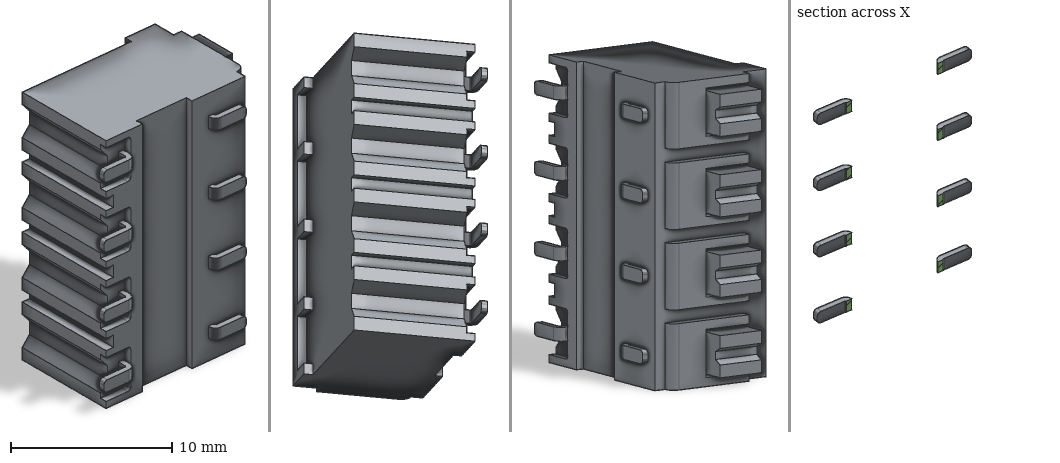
import cadquery as cq


pole_count = 4
total_height = 19.44
pole_height = 4.2
pitch = (total_height - pole_height) / (pole_count - 1)
pole_middle = pole_height / 2
pole_gap = pitch - pole_height

body_left = 0.58
body_right = 8.4
body_back = 11.59
notch_left = 7.87
notch_front = 3.01
notch_back = 7.15

rim_front = 10.6
lug_front = 9.1
lug_height = 0.82
end_lug_height = 0.7

ledge_left = 1.73
ledge_right = 7.62
ledge_back = 12.25
ledge_round = 0.6

button_left = 1.79
button_right = 4.9
button_height = 2.66
button_back = 13.67
button_notch_depth = 0.5
button_notch_mouth = 1.05
button_notch_floor = 0.5
slot_clearance = 0.08
slot_chamfer_width = 0.12
slot_chamfer_depth = 0.23

groove_depth = 0.6
groove_mouth = 2.41
groove_floor = 1.0

pocket_height = 3.19
pocket_back = 2.06
pocket_round = 0.25

pin_right = 9.0
pin_thickness = 0.4
pin_width = 0.87
pin_length = 2.62
pin_root = 6.8
pin_bend_outer = 0.52
pin_bend_inner = pin_bend_outer - pin_thickness
pin_tip_round = 0.3
front_pin_back = 1.9
rear_pin_front = 8.51


def block(x_range, y_range, z_range):
    """Box spanning the three given (low, high) ranges."""
    lengths = [high - low for low, high in (x_range, y_range, z_range)]
    return cq.Workplane("XY").box(*lengths, centered=False).translate((x_range[0], y_range[0], z_range[0]))


def extrude_along_x(points, x_start, x_end):
    """Prism along X from an outline of (y, z) points."""
    return cq.Workplane("YZ").workplane(offset=x_start).polyline(points).close().extrude(x_end - x_start)


def centred(middle, width):
    """(low, high) range of the given width about a middle."""
    return middle - width / 2, middle + width / 2


def make_housing():
    housing = block((body_left, body_right), (0, body_back), (0, total_height))
    notch = block((notch_left, body_right), (notch_front, notch_back), (0, total_height))
    return housing.cut(notch)


def make_lugs():
    lugs = block((0, body_left), (rim_front, body_back), (0, total_height))
    z_ranges = [(0, end_lug_height), (total_height - end_lug_height, total_height)]
    for index in range(1, pole_count):
        gap_middle = index * pitch - pole_gap / 2
        z_ranges.append(centred(gap_middle, lug_height))
    for z_range in z_ranges:
        lugs = lugs.union(block((0, body_left), (lug_front, body_back), z_range))
    return lugs


def make_ledge():
    ledge = block((ledge_left, ledge_right), (notch_back, ledge_back), (0, pole_height))
    return ledge.edges("|Z and >X and >Y").fillet(ledge_round)


def make_button_slot():
    half_width = button_height / 2 + slot_clearance
    half_mouth = half_width + slot_chamfer_width
    chamfer_front = ledge_back - slot_chamfer_depth
    outline = [
        (body_back, pole_middle - half_width),
        (chamfer_front, pole_middle - half_width),
        (ledge_back, pole_middle - half_mouth),
        (ledge_back, pole_middle + half_mouth),
        (chamfer_front, pole_middle + half_width),
        (body_back, pole_middle + half_width),
    ]
    return extrude_along_x(outline, ledge_left, button_right + slot_clearance)


def make_button():
    low, high = centred(pole_middle, button_height)
    mouth_low, mouth_high = centred(pole_middle, button_notch_mouth)
    floor_low, floor_high = centred(pole_middle, button_notch_floor)
    notch_floor = button_back - button_notch_depth
    outline = [
        (notch_back, low),
        (button_back, low),
        (button_back, mouth_low),
        (notch_floor, floor_low),
        (notch_floor, floor_high),
        (button_back, mouth_high),
        (button_back, high),
        (notch_back, high),
    ]
    return extrude_along_x(outline, button_left, button_right)


def make_front_groove():
    mouth_low, mouth_high = centred(pole_middle, groove_mouth)
    floor_low, floor_high = centred(pole_middle, groove_floor)
    outline = [(0, mouth_low), (groove_depth, floor_low), (groove_depth, floor_high), (0, mouth_high)]
    return extrude_along_x(outline, body_left, notch_left)


def make_pin_pocket():
    pocket = block((notch_left, body_right), (0, pocket_back), centred(pole_middle, pocket_height))
    return pocket.edges("|X and >Y").fillet(pocket_round)


def make_pin(root_y, direction):
    """L-shaped pin; root_y is the outer face of its root, direction is the way it bends along Y."""
    tip_y = root_y + direction * pin_length
    inner_y = root_y + direction * pin_thickness
    inner_x = pin_right - pin_thickness
    outline = [
        (pin_root, root_y),
        (pin_right, root_y),
        (pin_right, tip_y),
        (inner_x, tip_y),
        (inner_x, inner_y),
        (pin_root, inner_y),
    ]
    pin = cq.Workplane("XY").polyline(outline).close().extrude(pin_width)
    inner_corner = cq.selectors.NearestToPointSelector((inner_x, inner_y, pin_width / 2))
    outer_corner = cq.selectors.NearestToPointSelector((pin_right, root_y, pin_width / 2))
    pin = pin.edges("|Z").edges(inner_corner).fillet(pin_bend_inner)
    pin = pin.edges("|Z").edges(outer_corner).fillet(pin_bend_outer)
    tip_side = ">Y" if direction > 0 else "<Y"
    pin = pin.faces(tip_side).edges("|X").fillet(pin_tip_round)
    return pin.translate((0, 0, pole_middle - pin_width / 2))


pole_ledge = make_ledge().cut(make_button_slot())
pole_cuts = make_front_groove().union(make_pin_pocket())
pole_additions = [
    pole_ledge,
    make_button(),
    make_pin(front_pin_back, -1),
    make_pin(rear_pin_front, 1),
]

result = make_housing().union(make_lugs())
for index in range(pole_count):
    pole_base = (0, 0, index * pitch)
    result = result.cut(pole_cuts.translate(pole_base))
    for addition in pole_additions:
        result = result.union(addition.translate(pole_base))

for index in range(1, pole_count):
    gap_range = (index * pitch - pole_gap, index * pitch)
    result = result.cut(block((body_left, body_right), (0, groove_depth), gap_range))